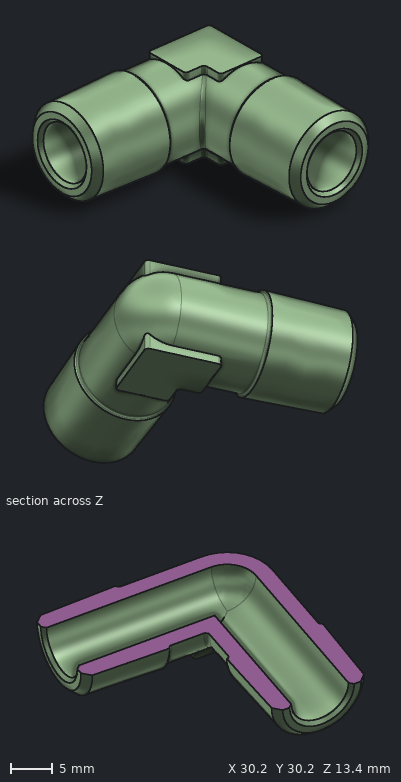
import cadquery as cq
import math

overall_size = 30.22
collar_diameter = 13.45
collar_radius = collar_diameter / 2
arm_length = overall_size - collar_radius
body_radius = 6.32
thread_end_radius = 6.47
end_face_radius = 5.47
thread_start = 11.82
shoulder_angle = math.radians(60)
neck_fillet_radius = 0.4
end_chamfer_length = 1.03

shoulder_radius = body_radius + neck_fillet_radius * (1 - math.cos(shoulder_angle))
shoulder_x = thread_start - (collar_radius - shoulder_radius) / math.tan(shoulder_angle)
neck_end = shoulder_x - neck_fillet_radius * math.sin(shoulder_angle)

bore_radius = 4.0
mouth_radius = 4.5
mouth_depth = mouth_radius - bore_radius

pad_size = 10.03
pad_outer = 3.48
pad_inner = pad_size - pad_outer
pad_notch = 3.55
pad_half_height = 6.45
corner_radius = 0.5

crease_radius = 0.5


def along_both_arms(arm):
    """Join an arm along +X with its copy turned over onto -Y."""
    return arm.union(arm.rotate((0, 0, 0), (1, -1, 0), 180))


def make_body():
    barrel = cq.Workplane("YZ").circle(body_radius).extrude(neck_end)
    return along_both_arms(barrel).union(cq.Workplane("XY").sphere(body_radius))


def make_thread():
    half_angle = shoulder_angle / 2
    fillet_middle = (
        neck_end + neck_fillet_radius * math.sin(half_angle),
        body_radius + neck_fillet_radius * (1 - math.cos(half_angle)),
    )
    profile = (
        cq.Workplane("XY")
        .moveTo(neck_end, 0)
        .lineTo(neck_end, body_radius)
        .threePointArc(fillet_middle, (shoulder_x, shoulder_radius))
        .lineTo(thread_start, collar_radius)
        .lineTo(arm_length - end_chamfer_length, thread_end_radius)
        .lineTo(arm_length, end_face_radius)
        .lineTo(arm_length, 0)
        .close()
    )
    return profile.revolve(360, (0, 0, 0), (1, 0, 0))


def make_pads():
    outline = [
        (-pad_outer, pad_outer),
        (pad_inner, pad_outer),
        (pad_inner, -pad_notch),
        (pad_notch, -pad_notch),
        (pad_notch, -pad_inner),
        (-pad_outer, -pad_inner),
    ]
    pads = cq.Workplane("XY").polyline(outline).close().extrude(pad_half_height, both=True)
    return pads.edges("|Z").fillet(corner_radius)


def make_bore():
    profile = [
        (0, 0),
        (0, bore_radius),
        (arm_length - mouth_depth, bore_radius),
        (arm_length, mouth_radius),
        (arm_length, 0),
    ]
    bore = cq.Workplane("XY").polyline(profile).close().revolve(360, (0, 0, 0), (1, 0, 0))
    return along_both_arms(bore).union(cq.Workplane("XY").sphere(bore_radius))


def round_crease(elbow):
    """Fillet the inside corner between the arms, from one pad to the other."""
    crease = cq.selectors.NearestToPointSelector((body_radius, -body_radius, 0))
    return elbow.edges(crease).fillet(crease_radius)


elbow = round_crease(make_body().union(make_pads()))
result = elbow.union(along_both_arms(make_thread())).cut(make_bore())